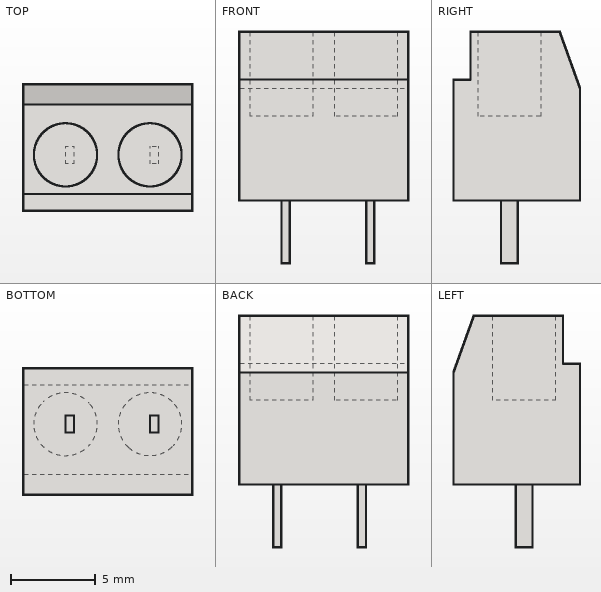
import cadquery as cq

width = 10.0
depth = 7.5
total_height = 13.72
pin_length = 3.72
body_height = total_height - pin_length

step_depth = 1.0
step_height = 2.84
slope_depth = 1.21
slope_height = 3.36

pole_pitch = width / 2
pole_y = 3.32
well_diameter = 3.75
well_depth = body_height / 2
pin_width = 0.5
pin_depth = 1.0


def housing():
    """Side profile in the YZ plane, extruded across the width."""
    return (
        cq.Workplane("YZ")
        .polyline([
            (0, 0),
            (depth, 0),
            (depth, body_height - slope_height),
            (depth - slope_depth, body_height),
            (step_depth, body_height),
            (step_depth, body_height - step_height),
            (0, body_height - step_height),
        ])
        .close()
        .extrude(width)
    )


def screw_well(pole_x):
    """Blind round well cutter, open at the top face."""
    return (
        cq.Workplane("XY", origin=(pole_x, pole_y, body_height - well_depth))
        .circle(well_diameter / 2)
        .extrude(well_depth)
    )


def solder_pin(pole_x):
    """Flat pin below the housing; its left side lies on the pole centre."""
    return (
        cq.Workplane("XY", origin=(pole_x + pin_width / 2, pole_y, 0))
        .rect(pin_width, pin_depth)
        .extrude(-pin_length)
    )


result = housing()
for pole in range(2):
    pole_x = (pole + 0.5) * pole_pitch
    result = result.cut(screw_well(pole_x)).union(solder_pin(pole_x))